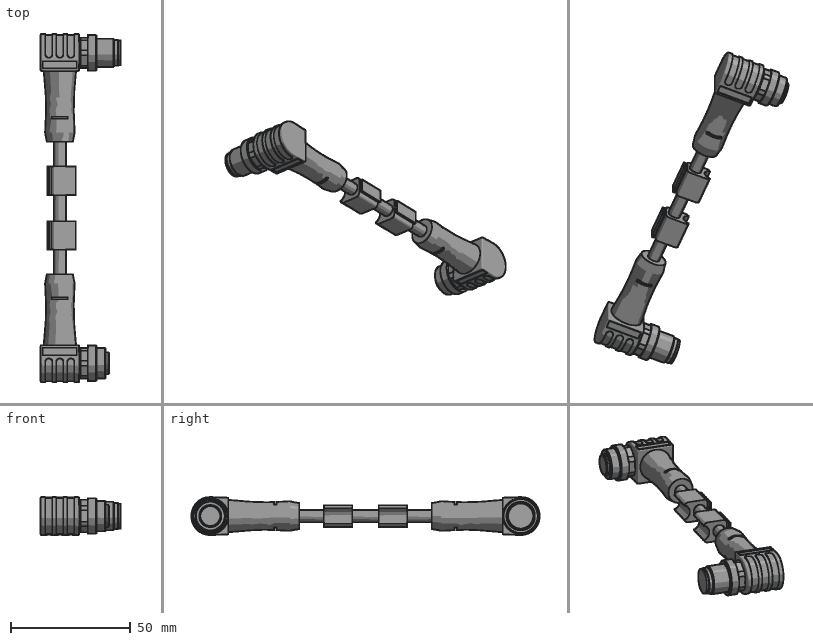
import cadquery as cq
import math

OVERALL_LENGTH = 145.94
OVERALL_WIDTH = 33.5
CABLE_DIAMETER = 5.2

HEAD_LENGTH = 16.2
HEAD_RADIUS = 8.0
HEAD_BACK = 7.6
HEAD_DRAFT = 2.0
HEAD_EDGE_FILLET = 0.6
HEAD_START = -HEAD_LENGTH / 2
CUTTER_HEIGHT = 4 * HEAD_RADIUS
AXIS_Y = OVERALL_LENGTH / 2 - HEAD_RADIUS

SLOT_COUNT = 3
SLOT_PITCH = 4.6
SLOT_WIDTH = 3.0
SLOT_DEPTH = 0.45
SLOT_RIM_FILLET = 0.3
SLOT_REACH = 2.0

LABEL_LENGTH = 14.3
LABEL_WIDTH = 3.1
LABEL_BACK_MARGIN = 1.1
LABEL_DEPTH = 0.3

BOOT_ROOT_DIAMETER = 13.8
BOOT_WAIST_DISTANCE = 29.0
BOOT_WAIST_DIAMETER = 12.0
BOOT_RIDGE_DISTANCE = 33.3
BOOT_RIDGE_DIAMETER = 12.5
BOOT_END_DISTANCE = 37.3
BOOT_END_DIAMETER = 10.95
NOTCH_DISTANCE = 27.2
NOTCH_WIDTH = 0.9
NOTCH_HALF_CHORD = 3.5

NECK_LENGTH = 0.6
NECK_DIAMETER = 9.3
HEX_LENGTH = 3.0
HEX_FLATS = 12.8
HEX_CORNER_DIAMETER = 13.7
NUT_LENGTH = 3.7
NUT_DIAMETER = 15.0
NUT_CHAMFER = 0.4
HEX_START = HEAD_START + HEAD_LENGTH + NECK_LENGTH
NUT_START = HEX_START + HEX_LENGTH
NUT_END = NUT_START + NUT_LENGTH

PLUG_END = HEAD_START + OVERALL_WIDTH
MALE_DIAMETER = 12.0
MALE_LENGTH = 7.4
MALE_CHAMFER = 0.5
MALE_STEP_DIAMETER = 10.95
MALE_TIP_DIAMETER = 10.5
MALE_STEP_CHAMFER = (MALE_STEP_DIAMETER - MALE_TIP_DIAMETER) / 2
MALE_TIP_LENGTH = 0.9

FEMALE_DIAMETER = 12.8
FEMALE_LENGTH = 3.9
FEMALE_CHAMFER = 0.4
INSERT_DIAMETER = 9.3
INSERT_TIP_DIAMETER = 8.3
INSERT_LENGTH = 1.4
INSERT_CHAMFER = (INSERT_DIAMETER - INSERT_TIP_DIAMETER) / 2

CLIP_LENGTH = 12.0
CLIP_PITCH = 22.9
CLIP_HALF_HEIGHT = 4.6
CLIP_FACE_X = -5.2
CLIP_LIP_X = -4.35
CLIP_WALL_X = -3.5
CLIP_LIP_Z = 2.8
CLIP_SLIT_Z = 0.5
CLIP_SHOULDER_RADIUS = 1.35
CLIP_EAR_START_X = 4.9
CLIP_EAR_X = 6.7
CLIP_EAR_Z = 3.2
CLIP_NOTCH_X = 4.3
CLIP_NOTCH_DEPTH = CLIP_EAR_X - CLIP_NOTCH_X
CLIP_NOTCH_RADIUS = (CLIP_EAR_Z ** 2 + CLIP_NOTCH_DEPTH ** 2) / (2 * CLIP_NOTCH_DEPTH)


def head_prism(inset, length, x_start):
    """Half-round head outline shrunk by inset and extruded along +X."""
    radius = HEAD_RADIUS - inset
    draft = math.radians(HEAD_DRAFT)
    tangent_y = -radius * math.sin(draft)
    tangent_z = radius * math.cos(draft)
    back_y = -HEAD_BACK
    back_z = tangent_z + (back_y - tangent_y) * math.tan(draft)
    return (
        cq.Workplane("YZ", origin=(x_start, 0, 0))
        .moveTo(back_y, back_z)
        .lineTo(tangent_y, tangent_z)
        .threePointArc((radius, 0), (tangent_y, -tangent_z))
        .lineTo(back_y, -back_z)
        .close()
        .extrude(length)
    )


def grip_slots():
    """Material removed by the U-shaped slots that run around the rounded end."""
    tool = None
    first = -SLOT_PITCH * (SLOT_COUNT - 1) / 2
    radius = SLOT_WIDTH / 2
    core = head_prism(SLOT_DEPTH, HEAD_LENGTH, HEAD_START)
    for index in range(SLOT_COUNT):
        x = first + index * SLOT_PITCH
        slot = (
            cq.Workplane("XY", origin=(0, 0, -CUTTER_HEIGHT / 2))
            .moveTo(x - radius, 2 * HEAD_RADIUS)
            .lineTo(x - radius, radius - SLOT_REACH)
            .threePointArc((x, -SLOT_REACH), (x + radius, radius - SLOT_REACH))
            .lineTo(x + radius, 2 * HEAD_RADIUS)
            .close()
            .extrude(CUTTER_HEIGHT)
            .cut(core)
        )
        tool = slot if tool is None else tool.union(slot)
    return tool


def is_slot_rim(edge):
    """True for an edge where a slot wall meets the outer surface of the head."""
    slots_half_span = (SLOT_PITCH * (SLOT_COUNT - 1) + SLOT_WIDTH) / 2
    if abs(edge.Center().x) > slots_half_span + SLOT_RIM_FILLET:
        return False
    if edge.Center().y < -SLOT_REACH:
        return False
    heights = [math.hypot(vertex.Y, vertex.Z) for vertex in edge.Vertices()]
    return min(heights) > HEAD_RADIUS - SLOT_DEPTH / 2


def label_pockets():
    """Pockets that follow the drafted top and bottom of the head."""
    y = -HEAD_BACK + LABEL_BACK_MARGIN + LABEL_WIDTH / 2
    block = cq.Workplane("XY").box(LABEL_LENGTH, LABEL_WIDTH, CUTTER_HEIGHT)
    core = head_prism(LABEL_DEPTH, HEAD_LENGTH, HEAD_START)
    return block.translate((0, y, 0)).cut(core)


def head():
    body = head_prism(0, HEAD_LENGTH, HEAD_START)
    body = body.faces("<X or >X or <Y").edges().fillet(HEAD_EDGE_FILLET)
    body = body.cut(grip_slots())
    rims = body.edges("not |X").filter(is_slot_rim)
    return rims.fillet(SLOT_RIM_FILLET).cut(label_pockets())


def boot():
    start = HEAD_BACK - HEAD_EDGE_FILLET
    flank = [
        (BOOT_WAIST_DIAMETER / 2, -BOOT_WAIST_DISTANCE),
        (BOOT_RIDGE_DIAMETER / 2, -BOOT_RIDGE_DISTANCE),
    ]
    body = (
        cq.Workplane("XY")
        .moveTo(0, -start)
        .lineTo(BOOT_ROOT_DIAMETER / 2, -start)
        .spline(flank, includeCurrent=True)
        .lineTo(BOOT_END_DIAMETER / 2, -BOOT_END_DISTANCE)
        .lineTo(0, -BOOT_END_DISTANCE)
        .close()
        .revolve(360, (0, 0, 0), (0, 1, 0))
    )
    floor_z = math.sqrt((BOOT_WAIST_DIAMETER / 2) ** 2 - NOTCH_HALF_CHORD ** 2)
    for side in (1, -1):
        notch = cq.Workplane("XY").box(BOOT_ROOT_DIAMETER, NOTCH_WIDTH, BOOT_ROOT_DIAMETER)
        notch_z = side * (floor_z + BOOT_ROOT_DIAMETER / 2)
        body = body.cut(notch.translate((0, -NOTCH_DISTANCE, notch_z)))
    return body


def rod(diameter, x_start, length):
    """Cylinder on the plug axis."""
    return cq.Workplane("YZ", origin=(x_start, 0, 0)).circle(diameter / 2).extrude(length)


def coupling():
    """Neck, hexagon with rounded corners and round nut shared by both plugs."""
    neck_start = HEX_START - NECK_LENGTH
    corner_to_corner = HEX_FLATS / math.cos(math.pi / 6)
    hexagon = (
        cq.Workplane("YZ", origin=(HEX_START, 0, 0))
        .transformed(rotate=(0, 0, 90))
        .polygon(6, corner_to_corner)
        .extrude(HEX_LENGTH)
        .intersect(rod(HEX_CORNER_DIAMETER, HEX_START, HEX_LENGTH))
    )
    nut = rod(NUT_DIAMETER, NUT_START, NUT_LENGTH).faces(">X").edges().chamfer(NUT_CHAMFER)
    return rod(NECK_DIAMETER, neck_start, NECK_LENGTH).union(hexagon).union(nut)


def male_barrel():
    barrel = rod(MALE_DIAMETER, NUT_END, MALE_LENGTH)
    barrel = barrel.faces(">X").edges().chamfer(MALE_CHAMFER)
    tip = rod(MALE_TIP_DIAMETER, NUT_END, PLUG_END - NUT_END)
    step = rod(MALE_STEP_DIAMETER, NUT_END, PLUG_END - MALE_TIP_LENGTH - NUT_END)
    step = step.faces(">X").edges().chamfer(MALE_STEP_CHAMFER)
    return barrel.union(step).union(tip)


def female_barrel():
    barrel = rod(FEMALE_DIAMETER, NUT_END, FEMALE_LENGTH)
    barrel = barrel.faces(">X").edges().chamfer(FEMALE_CHAMFER)
    insert = rod(INSERT_DIAMETER, NUT_END + FEMALE_LENGTH, INSERT_LENGTH)
    return barrel.union(insert.faces(">X").edges().chamfer(INSERT_CHAMFER))


def plug(barrel):
    """Complete plug with its axis at the origin and its boot toward -Y."""
    return head().union(boot()).union(coupling()).union(barrel)


def clip(y_center):
    """Label clip: slit behind the flat -X face, rounded shoulders, two ears at +X."""
    shoulder_z = CLIP_HALF_HEIGHT - CLIP_SHOULDER_RADIUS
    shoulder_x = CLIP_WALL_X + CLIP_SHOULDER_RADIUS
    upper_half = (
        cq.Workplane("XZ", origin=(0, y_center + CLIP_LENGTH / 2, 0))
        .moveTo(CLIP_FACE_X, 0)
        .lineTo(CLIP_FACE_X, CLIP_LIP_Z)
        .lineTo(CLIP_LIP_X, CLIP_LIP_Z)
        .lineTo(CLIP_LIP_X, CLIP_SLIT_Z)
        .lineTo(CLIP_WALL_X, CLIP_SLIT_Z)
        .lineTo(CLIP_WALL_X, shoulder_z)
        .tangentArcPoint((shoulder_x, CLIP_HALF_HEIGHT), relative=False)
        .lineTo(CLIP_EAR_START_X, CLIP_HALF_HEIGHT)
        .tangentArcPoint((CLIP_EAR_X, CLIP_EAR_Z), relative=False)
        .radiusArc((CLIP_NOTCH_X, 0), -CLIP_NOTCH_RADIUS)
        .close()
        .extrude(CLIP_LENGTH)
    )
    return upper_half.union(upper_half.mirror("XY")).clean()


cable_span = 2 * (AXIS_Y - HEAD_BACK)
result = (
    cq.Workplane("XZ", origin=(0, cable_span / 2, 0))
    .circle(CABLE_DIAMETER / 2)
    .extrude(cable_span)
)
result = result.union(plug(male_barrel()).translate((0, AXIS_Y, 0)))
female_plug = plug(female_barrel()).mirror("XZ")
result = result.union(female_plug.translate((0, -AXIS_Y, 0)))
for clip_side in (1, -1):
    result = result.union(clip(clip_side * CLIP_PITCH / 2))